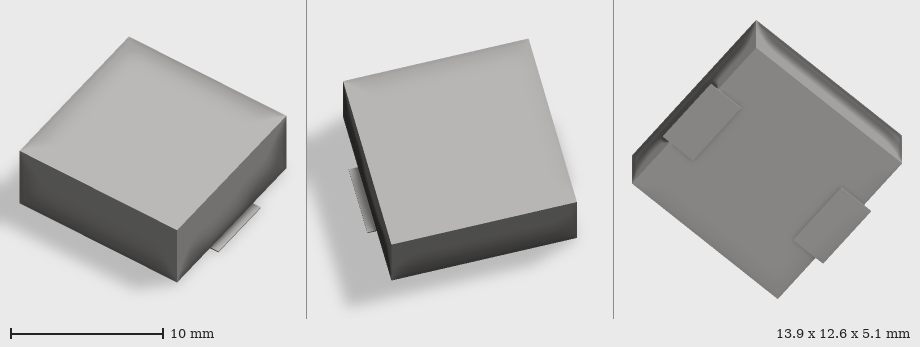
import cadquery as cq

overall_length = 13.85
overall_height = 5.1
housing_side = 12.6
terminal_length = 2.6
terminal_width = 4.88
terminal_thickness = 0.1

housing_height = overall_height - terminal_thickness
terminal_center_x = (overall_length - terminal_length) / 2


def make_housing():
    """Square block whose underside lies on the plane Z = 0."""
    return cq.Workplane("XY").box(housing_side, housing_side, housing_height, centered=(True, True, False))


def make_terminal(side):
    """Flat plate against the housing underside; side is -1 or +1 along X."""
    return (
        cq.Workplane("XY", origin=(side * terminal_center_x, 0, -terminal_thickness))
        .box(terminal_length, terminal_width, terminal_thickness, centered=(True, True, False))
    )


housing = make_housing()
terminals = [make_terminal(side) for side in (-1, 1)]

result = cq.Compound.makeCompound([housing.val(), *[terminal.val() for terminal in terminals]])